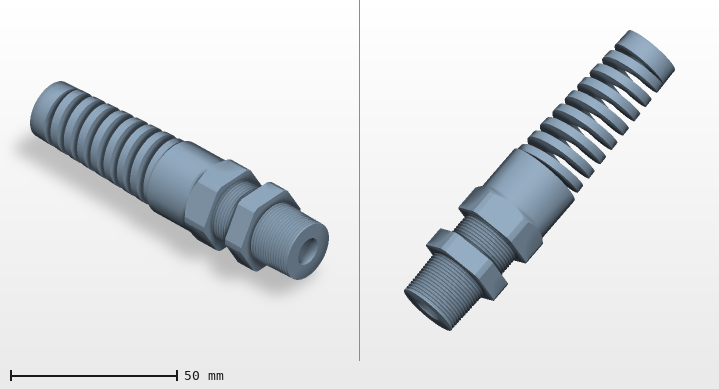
import cadquery as cq
import math


LENGTH = 104.9
TIP_END = 5.8
COLLAR_START = 50.2
NUT_HEX_START = 65.5
NUT_END = 74.7
BODY_HEX_START = 83.2
BODY_HEX_END = 89.8
END_THREAD_START = 90.5

ACROSS_FLATS = 23.9
ACROSS_CORNERS = 26.5

TIP_RADIUS = 9.2
COIL_END_RADIUS = 11.2
COLLAR_RADIUS = ACROSS_FLATS / 2
NUT_BORE_RADIUS = 4.7
COIL_PITCH = 16.8 / 3
GAP_INNER_WIDTH = 1.9
GAP_OUTER_WIDTH = 3.3
GAP_START = 3.1
GAP_TURNS = 8.85
GAP_INNER_RADIUS = 4.2
GAP_OUTER_RADIUS = 12.6

BODY_BORE_RADIUS = 4.4
MIDDLE_THREAD_RADIUS = 10.0
END_THREAD_BASE_RADIUS = 9.8
END_THREAD_TIP_RADIUS = 9.3
NECK_RADIUS = 8.8
THREAD_PITCH = 1.0
THREAD_DEPTH = THREAD_PITCH * 5 / 8 * math.cos(math.radians(30))
THREAD_FLANK = THREAD_PITCH * 5 / 16
THREAD_ROOT = THREAD_PITCH / 4
SHANK_START = NUT_HEX_START


def cylinder(start, end, radius):
    return cq.Workplane("YZ", origin=(start, 0, 0)).circle(radius).extrude(end - start)


def revolve_about_x(points):
    """Turn an outline of (x, radius) points about the X axis."""
    return cq.Workplane("XY").polyline(points).close().revolve(360, (0, 0, 0), (1, 0, 0))


def hexagon(start, end):
    """Hexagonal prism with flats on top and bottom and rounded-off corners."""
    prism = (
        cq.Workplane("YZ", origin=(start, 0, 0))
        .transformed(rotate=(0, 0, 30))
        .polygon(6, ACROSS_FLATS, circumscribed=True)
        .extrude(end - start)
    )
    return prism.intersect(cylinder(start, end, ACROSS_CORNERS / 2))


def spiral_gap():
    """Right-handed helical slot that widens outwards, ending flat at the tip and at the collar."""
    path = cq.Wire.makeHelix(COIL_PITCH, COIL_PITCH * GAP_TURNS, GAP_OUTER_RADIUS)
    cutter = (
        cq.Workplane("XZ")
        .moveTo(GAP_INNER_RADIUS, -GAP_INNER_WIDTH / 2)
        .lineTo(GAP_OUTER_RADIUS, -GAP_OUTER_WIDTH / 2)
        .lineTo(GAP_OUTER_RADIUS, GAP_OUTER_WIDTH / 2)
        .lineTo(GAP_INNER_RADIUS, GAP_INNER_WIDTH / 2)
        .close()
        .sweep(cq.Workplane(path), isFrenet=True)
    )
    cutter = cutter.rotate((0, 0, 0), (0, 1, 0), 90).translate((GAP_START, 0, 0))
    slab_side = 4 * GAP_OUTER_RADIUS
    slab = (
        cq.Workplane("YZ", origin=(TIP_END, 0, 0))
        .rect(slab_side, slab_side)
        .extrude(COLLAR_START - TIP_END)
    )
    return cutter.intersect(slab)


def make_spiral_nut():
    tail = revolve_about_x(
        [
            (0, 0),
            (0, TIP_RADIUS),
            (COLLAR_START, COIL_END_RADIUS),
            (COLLAR_START, COLLAR_RADIUS),
            (NUT_HEX_START, COLLAR_RADIUS),
            (NUT_HEX_START, 0),
        ]
    )
    tail = tail.cut(spiral_gap()).cut(cylinder(0, NUT_HEX_START, NUT_BORE_RADIUS))

    corner_radius = ACROSS_CORNERS / 2
    cone_end = NUT_HEX_START + corner_radius - COLLAR_RADIUS
    cone_envelope = revolve_about_x(
        [
            (NUT_HEX_START, 0),
            (NUT_HEX_START, COLLAR_RADIUS),
            (cone_end, corner_radius),
            (NUT_END, corner_radius),
            (NUT_END, 0),
        ]
    )
    head = hexagon(NUT_HEX_START, NUT_END).intersect(cone_envelope)
    head = head.cut(cylinder(SHANK_START, NUT_END, MIDDLE_THREAD_RADIUS))
    return tail.union(head)


def threaded_outline(start, end, start_radius, end_radius):
    """Points (x, radius) along a thread drawn as rings, crest to crest from start to end."""

    def crest(x):
        return start_radius + (end_radius - start_radius) * (x - start) / (end - start)

    groove_width = 2 * THREAD_FLANK + THREAD_ROOT
    crest_width = THREAD_PITCH - groove_width
    points = [(start, crest(start))]
    for groove in range(int((end - start - crest_width) / THREAD_PITCH)):
        left = start + crest_width + groove * THREAD_PITCH
        right = left + groove_width
        points += [
            (left, crest(left)),
            (left + THREAD_FLANK, crest(left) - THREAD_DEPTH),
            (right - THREAD_FLANK, crest(right) - THREAD_DEPTH),
            (right, crest(right)),
        ]
    return points + [(end, crest(end))]


def make_gland_body():
    middle_thread = threaded_outline(NUT_END, BODY_HEX_START, MIDDLE_THREAD_RADIUS, MIDDLE_THREAD_RADIUS)
    end_thread = threaded_outline(END_THREAD_START, LENGTH, END_THREAD_BASE_RADIUS, END_THREAD_TIP_RADIUS)
    shank = revolve_about_x(
        [(SHANK_START, 0), (SHANK_START, MIDDLE_THREAD_RADIUS)]
        + middle_thread
        + [(BODY_HEX_START, NECK_RADIUS), (END_THREAD_START, NECK_RADIUS)]
        + end_thread
        + [(LENGTH, 0)]
    )
    body = shank.union(hexagon(BODY_HEX_START, BODY_HEX_END))
    return body.cut(cylinder(SHANK_START, LENGTH, BODY_BORE_RADIUS))


spiral_nut = make_spiral_nut()
gland_body = make_gland_body()

result = cq.Compound.makeCompound([spiral_nut.val(), gland_body.val()])